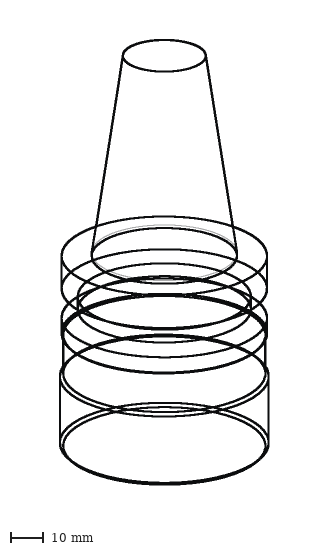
import cadquery as cq

total_height = 129.4
gauge_height = 64.0
flange_top = 63.0
groove_upper_edge = 52.1
groove_floor_top = 49.5
groove_floor_bottom = 45.3
groove_lower_edge = 42.5
flange_bottom = 36.9
nut_top = 24.1

gauge_diameter = 44.5
flange_diameter = 63.0
groove_diameter = 53.0
body_diameter = 62.0
nut_diameter = 64.0

taper_ratio = 7 / 24
tip_diameter = gauge_diameter - taper_ratio * (total_height - gauge_height)

nut_bevel = 1.0

gauge_radius = gauge_diameter / 2
flange_radius = flange_diameter / 2
groove_radius = groove_diameter / 2
body_radius = body_diameter / 2
nut_radius = nut_diameter / 2

flange_bevel = flange_radius - body_radius

half_section = [
    (0, 0),
    (nut_radius - nut_bevel, 0),
    (nut_radius, nut_bevel),
    (nut_radius, nut_top - nut_bevel),
    (body_radius, nut_top),
    (body_radius, flange_bottom),
    (flange_radius, flange_bottom + flange_bevel),
    (flange_radius, groove_lower_edge),
    (groove_radius, groove_floor_bottom),
    (groove_radius, groove_floor_top),
    (flange_radius, groove_upper_edge),
    (flange_radius, flange_top),
    (gauge_radius, flange_top),
    (gauge_radius, gauge_height),
    (tip_diameter / 2, total_height),
    (0, total_height),
]

result = cq.Workplane("XZ").polyline(half_section).close().revolve(360, (0, 0), (0, 1))